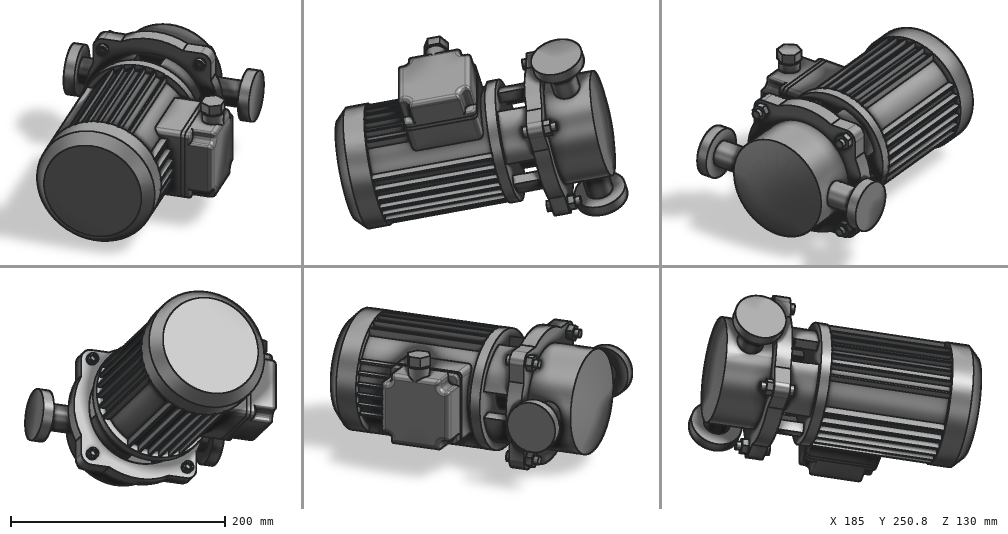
import cadquery as cq
import math


DOME_TOP_Y = 27.8
CASING_BACK_Y = 22.3
PLATE_BACK_Y = -21.8
PLATE_FRONT_Y = PLATE_BACK_Y - 15.0
RING_BACK_Y = -66.7
RING_FRONT_Y = RING_BACK_Y - 10.0
CAP_BACK_Y = -192.8
CAP_FRONT_Y = DOME_TOP_Y - 250.8

CASING_R = 50.0
CASING_LEDGE = 0.8
PIPE_R = 12.5
PIPE_FLANGE_R = 24.3
PIPE_FLANGE_T = 10.5
PIPE_FACE_X = 90.5

PLATE_R = 65.0
PLATE_SIDE = 115.0
PLATE_CORNER_R = 10.0

LANTERN_R = CASING_R
LANTERN_BORE_R = 39.9
CORE_R = 18.8
WINDOW_COUNT = 4
WINDOW_ANGLE = 30.0

MOTOR_R = 57.7
MOTOR_BODY_R = 51.2
CAP_CHAMFER = 10.0
FIN_T = 1.5
FIN_PITCH = 10.3
FINS_PER_SIDE = 6

BOX_SIDE = 69.2
BOX_FACE_X = 94.5
BOX_Y = -116.9
BOX_EDGE_R = 5.0
BOX_FACE_EDGE_R = 4.8
GASKET_START_X = 63.7
LID_START_X = 67.7
NOTCH_DEPTH = 9.8
NOTCH_ROOT_R = 5.0
NOTCH_START_X = 72.7
NOTCH_LIP_R = 1.8

GLAND_FLATS = 20.0
GLAND_X = BOX_FACE_X - GLAND_FLATS / 2
GLAND_TOP_Z = 54.5
GLAND_HEX_H = 9.8
GLAND_NECK_R = 8.0
GLAND_NECK_H = 1.5

BOLT_COUNT = 4
BOLT_R = 4.0
BOLT_HEAD_R = 5.0
BOLT_HEAD_H = 5.5
SOCKET_FLATS = 6.0
SOCKET_DEPTH = 3.0
NUT_FLATS = 13.0
NUT_H = 6.5
BOLT_TIP = 5.0

CASING_FRONT_Y = PLATE_FRONT_Y - CASING_LEDGE
BOX_FRONT_Y = BOX_Y - BOX_SIDE / 2
BOLT_OFFSET = PLATE_SIDE / 2 - PLATE_CORNER_R


def across_y(y, x=0, z=0):
    """Plane across the shaft axis; it extrudes toward -Y."""
    return cq.Workplane("XZ", origin=(x, y, z))


def disc(radius, back_y, front_y, x=0, z=0):
    return across_y(back_y, x, z).circle(radius).extrude(back_y - front_y)


def around_shaft(body, step, count):
    """Copy of a body turned about the shaft axis by a number of equal steps."""
    return body.rotate((0, 0, 0), (0, 1, 0), step * 360 / count)


def hexagon(plane, flats, height):
    """Hexagonal prism with two of its flats facing -X and +X."""
    corner_r = flats / 2 / math.cos(math.radians(30))
    corners = [
        (corner_r * math.cos(angle), corner_r * math.sin(angle))
        for angle in (math.radians(30 + 60 * i) for i in range(6))
    ]
    return plane.polyline(corners).close().extrude(height)


def make_casing():
    """Round pump casing with a domed end; its front stands just proud of the plate."""
    dome_height = DOME_TOP_Y - CASING_BACK_Y
    dome_r = (CASING_R**2 + dome_height**2) / (2 * dome_height)
    dome_middle = (CASING_R / 2, DOME_TOP_Y - dome_r + math.sqrt(dome_r**2 - (CASING_R / 2) ** 2))
    return (
        cq.Workplane("XY")
        .moveTo(0, CASING_FRONT_Y)
        .lineTo(CASING_R, CASING_FRONT_Y)
        .lineTo(CASING_R, CASING_BACK_Y)
        .threePointArc(dome_middle, (0, DOME_TOP_Y))
        .close()
        .revolve(360, (0, 0, 0), (0, 1, 0))
    )


def make_pipes():
    """Straight pipe through the casing with a blind flange at each end."""
    pipes = cq.Workplane("YZ").circle(PIPE_R).extrude(PIPE_FACE_X, both=True)
    for start_x in (-PIPE_FACE_X, PIPE_FACE_X - PIPE_FLANGE_T):
        flange = cq.Workplane("YZ", origin=(start_x, 0, 0)).circle(PIPE_FLANGE_R).extrude(PIPE_FLANGE_T)
        pipes = pipes.union(flange)
    return pipes


def make_lantern():
    lantern = disc(LANTERN_R, CASING_FRONT_Y, RING_BACK_Y)
    lantern = lantern.cut(disc(LANTERN_BORE_R, CASING_FRONT_Y, RING_BACK_Y))
    reach = 2 * LANTERN_R
    half_width = reach * math.tan(math.radians(WINDOW_ANGLE / 2))
    window = (
        across_y(CASING_FRONT_Y)
        .polyline([(0, 0), (reach, -half_width), (reach, half_width)])
        .close()
        .extrude(CASING_FRONT_Y - RING_BACK_Y)
    )
    for i in range(WINDOW_COUNT):
        lantern = lantern.cut(around_shaft(window, i, WINDOW_COUNT))
    return lantern.union(disc(CORE_R, CASING_FRONT_Y, RING_BACK_Y))


def make_finned_body():
    """Finned motor body: fins upright above and below and level at the sides, trimmed round.

    The fins on the +X side run only from the terminal box to the end cap.
    """
    length = RING_FRONT_Y - CAP_BACK_Y
    right_length = BOX_FRONT_Y - CAP_BACK_Y
    fins = disc(MOTOR_BODY_R, RING_FRONT_Y, CAP_BACK_Y)
    for i in range(FINS_PER_SIDE):
        offset = (i - (FINS_PER_SIDE - 1) / 2) * FIN_PITCH
        upright = across_y(RING_FRONT_Y, x=offset).rect(FIN_T, 2 * MOTOR_R).extrude(length)
        left = across_y(RING_FRONT_Y, -MOTOR_R / 2, offset).rect(MOTOR_R, FIN_T).extrude(length)
        right = across_y(BOX_FRONT_Y, MOTOR_R / 2, offset).rect(MOTOR_R, FIN_T).extrude(right_length)
        fins = fins.union(upright).union(left).union(right)
    return fins.intersect(disc(MOTOR_R, RING_FRONT_Y, CAP_BACK_Y))


def make_motor():
    ring = disc(MOTOR_R, RING_BACK_Y, RING_FRONT_Y)
    cap = disc(MOTOR_R, CAP_BACK_Y, CAP_FRONT_Y).faces("<Y").chamfer(CAP_CHAMFER)
    return ring.union(make_finned_body()).union(cap)


def is_lip_edge(edge):
    """Whether an edge joins a notch to the outer skin of the terminal box."""
    tolerance = 0.03
    for point in (edge.startPoint(), edge.endPoint()):
        reach = max(abs(point.y - BOX_Y), abs(point.z))
        if reach < BOX_SIDE / 2 - tolerance or point.x < NOTCH_START_X - tolerance:
            return False
    return edge.Center().x < BOX_FACE_X - tolerance


def make_enclosure():
    """Full terminal box before it is divided, with a rounded notch along each outer corner."""
    box = cq.Workplane("YZ", origin=(0, BOX_Y, 0)).rect(BOX_SIDE, BOX_SIDE).extrude(BOX_FACE_X)
    box = box.edges("|X").fillet(BOX_EDGE_R)
    notches = (
        cq.Workplane("YZ", origin=(NOTCH_START_X, BOX_Y, 0))
        .rect(BOX_SIDE, BOX_SIDE, forConstruction=True)
        .vertices()
        .rect(2 * NOTCH_DEPTH, 2 * NOTCH_DEPTH)
        .extrude(BOX_FACE_X - NOTCH_START_X)
        .edges("|X")
        .fillet(NOTCH_ROOT_R)
    )
    box = box.cut(notches)
    lips = [edge for edge in box.edges().vals() if is_lip_edge(edge)]
    box = box.newObject(lips).fillet(NOTCH_LIP_R)
    return box.faces(">X").edges().fillet(BOX_FACE_EDGE_R)


def box_slice(enclosure, start_x, end_x):
    """Part of the terminal box between two planes across X."""
    slab = cq.Workplane("YZ", origin=(start_x, BOX_Y, 0))
    slab = slab.rect(2 * BOX_SIDE, 2 * BOX_SIDE).extrude(end_x - start_x)
    return enclosure.intersect(slab)


def make_gland():
    hex_bottom_z = GLAND_TOP_Z - GLAND_HEX_H
    collar_top_z = hex_bottom_z - GLAND_NECK_H
    base_z = BOX_SIDE / 2 - BOX_EDGE_R
    collar = cq.Workplane("XY", origin=(GLAND_X, BOX_Y, base_z))
    collar = collar.circle(GLAND_FLATS / 2).extrude(collar_top_z - base_z)
    neck = cq.Workplane("XY", origin=(GLAND_X, BOX_Y, collar_top_z)).circle(GLAND_NECK_R).extrude(GLAND_NECK_H)
    head = hexagon(cq.Workplane("XY", origin=(GLAND_X, BOX_Y, hex_bottom_z)), GLAND_FLATS, GLAND_HEX_H)
    return collar.union(neck).union(head)


def make_plate():
    """Mounting plate with a bore for the casing and a hole for each bolt."""
    thickness = PLATE_BACK_Y - PLATE_FRONT_Y
    square = across_y(PLATE_BACK_Y).rect(PLATE_SIDE, PLATE_SIDE).extrude(thickness)
    square = square.edges("|Y").fillet(PLATE_CORNER_R)
    plate = square.union(disc(PLATE_R, PLATE_BACK_Y, PLATE_FRONT_Y))
    plate = plate.cut(disc(CASING_R, PLATE_BACK_Y, PLATE_FRONT_Y))
    hole = disc(BOLT_R, PLATE_BACK_Y, PLATE_FRONT_Y, -BOLT_OFFSET, BOLT_OFFSET)
    for i in range(BOLT_COUNT):
        plate = plate.cut(around_shaft(hole, i, BOLT_COUNT))
    return plate


def make_pump():
    return make_casing().union(make_pipes()).union(make_lantern()).union(make_motor())


def make_bolt(step):
    """Bolt with a socket head on the motor side of the plate and a nut on the pump side."""
    x, z = -BOLT_OFFSET, BOLT_OFFSET
    head_front_y = PLATE_FRONT_Y - BOLT_HEAD_H
    nut_back_y = PLATE_BACK_Y + NUT_H
    head = disc(BOLT_HEAD_R, PLATE_FRONT_Y, head_front_y, x, z)
    shank = disc(BOLT_R, nut_back_y + BOLT_TIP, PLATE_FRONT_Y, x, z)
    socket = hexagon(across_y(head_front_y + SOCKET_DEPTH, x, z), SOCKET_FLATS, SOCKET_DEPTH)
    nut = hexagon(across_y(nut_back_y, x, z), NUT_FLATS, NUT_H)
    return around_shaft(head.union(shank).union(nut).cut(socket), step, BOLT_COUNT)


pump = make_pump()
plate = make_plate()
enclosure = make_enclosure()
box_base = box_slice(enclosure, 0, GASKET_START_X).cut(pump)
gasket = box_slice(enclosure, GASKET_START_X, LID_START_X)
lid = box_slice(enclosure, LID_START_X, BOX_FACE_X).union(make_gland())
bolts = [make_bolt(step).val() for step in range(BOLT_COUNT)]

result = cq.Compound.makeCompound([pump.val(), plate.val(), box_base.val(), gasket.val(), lid.val(), *bolts])